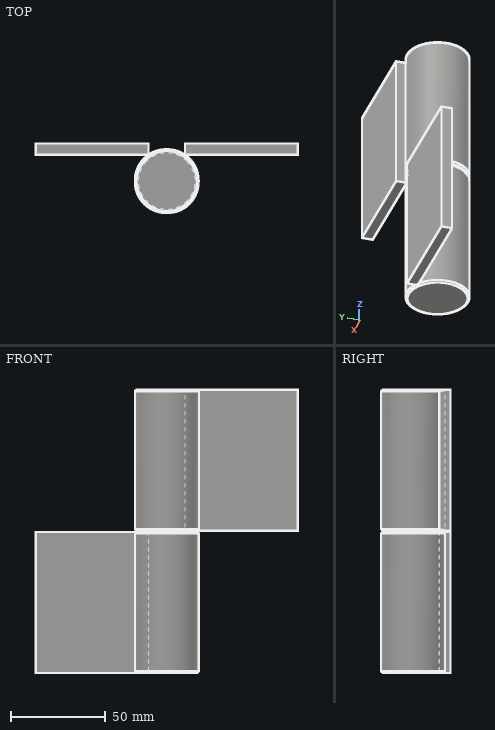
import cadquery as cq
import math

barrel_diameter = 34.0
barrel_height = 75.0
barrel_chamfer = 1.0
washer_diameter = 30.0
washer_thickness = 0.5
leaf_width = 60.0
leaf_thickness = 6.0
leaf_back_y = 20.0
weld_diameter = 0.1

barrel_radius = barrel_diameter / 2
leaf_front_y = leaf_back_y - leaf_thickness
leaf_inner_x = math.sqrt(barrel_radius**2 - leaf_front_y**2)

lower_base_z = -washer_thickness / 2 - barrel_height
upper_base_z = washer_thickness / 2


def make_barrel(base_z):
    """Cylinder chamfered at both ends."""
    barrel = cq.Workplane("XY", origin=(0, 0, base_z)).circle(barrel_radius).extrude(barrel_height)
    return barrel.faces("|Z").edges().chamfer(barrel_chamfer)


def make_leaf(base_z, side):
    """Flat plate as tall as the barrel; side is +1 for +X and -1 for -X."""
    center_x = side * (leaf_inner_x + leaf_width / 2)
    center_y = (leaf_front_y + leaf_back_y) / 2
    plane = cq.Workplane("XY", origin=(center_x, center_y, base_z))
    return plane.rect(leaf_width, leaf_thickness).extrude(barrel_height)


def make_weld(base_z, side):
    """Fine bead along the contact line that joins the leaf to the straight part of the barrel."""
    start = (side * leaf_inner_x, leaf_front_y, base_z + barrel_chamfer)
    length = barrel_height - 2 * barrel_chamfer
    return cq.Workplane("XY", origin=start).circle(weld_diameter / 2).extrude(length)


def make_hinge_half(base_z, side):
    """Barrel with its leaf welded on."""
    return make_barrel(base_z).union(make_weld(base_z, side)).union(make_leaf(base_z, side))


def make_washer():
    """Spacer disc between the two barrels."""
    plane = cq.Workplane("XY", origin=(0, 0, -washer_thickness / 2))
    return plane.circle(washer_diameter / 2).extrude(washer_thickness)


lower_half = make_hinge_half(lower_base_z, -1)
upper_half = make_hinge_half(upper_base_z, 1)
result = lower_half.union(make_washer()).union(upper_half)